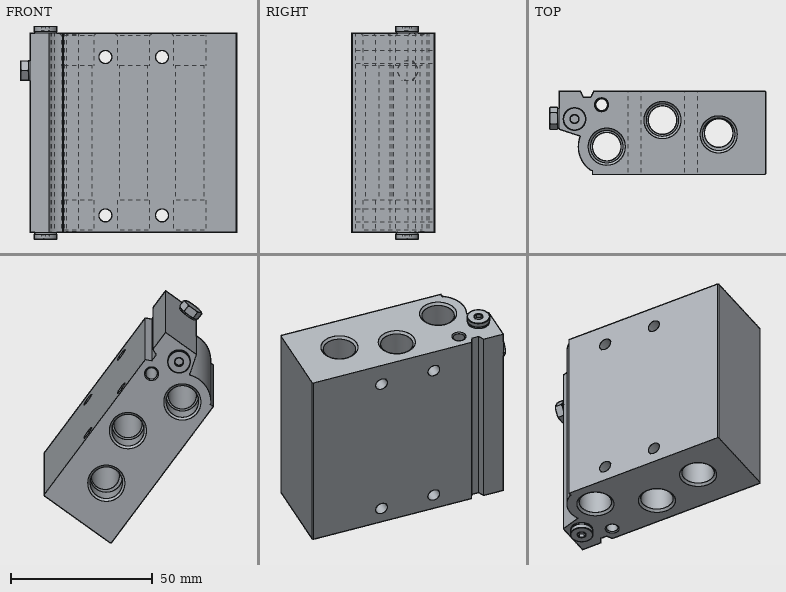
import cadquery as cq
import math

block_width = 73.05
block_depth = 29.5
block_height = 70.45
corner_chamfer = 0.3

lobe_radius = 10.1
front_step_x = 11.7
front_step_y = 1.4

shoulder_y = 16.0
shoulder_slope = 18.0
shoulder_radius = 0.35

groove_x = 9.85
groove_mouth = 4.65
groove_floor = 2.6
groove_depth = 2.15

bore_diameter = 10.0
port_diameter = 11.45
port_mouth_diameter = 13.15
port_depth = 11.45
port_centres = [(16.8, 9.85), (36.5, 19.25), (56.4, 14.2)]
last_bore_offset = 0.45
bore_offsets = [0, 0, last_bore_offset]

pilot_diameter = 4.1
pilot_mouth_diameter = 5.0
pilot_centre = (15.0, 24.7)

mount_diameter = 4.5
mount_columns = [26.6, 46.6]
mount_rows = [6.0, 62.0]

plug_centre = (5.4, 19.6)
plug_diameter = 8.0
plug_height = 2.45
plug_neck_diameter = 7.8
plug_neck_height = 0.7
plug_chamfer = 0.15
socket_flats = 2.75
socket_mouth_diameter = 3.2
socket_depth = 1.5
socket_turn = 30.0

screw_y = 19.9
screw_z = 57.2
screw_flats = 6.95
screw_head_height = 2.8
screw_neck_diameter = 7.0
screw_neck_height = 0.5
screw_bevel = 0.3


def block_profile():
    """Closed outline of the block in the XY plane."""
    lobe_x, lobe_y = port_centres[0]
    slope = math.tan(math.radians(shoulder_slope))

    drop = shoulder_y - lobe_y
    a = 1 + slope ** 2
    half_b = -lobe_x - slope * drop
    c = lobe_x ** 2 + drop ** 2 - lobe_radius ** 2
    top_x = (-half_b - math.sqrt(half_b ** 2 - a * c)) / a
    top_y = shoulder_y - slope * top_x

    bottom_x = lobe_x - math.sqrt(lobe_radius ** 2 - (lobe_y - front_step_y) ** 2)

    return (
        cq.Workplane("XY")
        .moveTo(0, block_depth)
        .lineTo(0, shoulder_y)
        .lineTo(top_x, top_y)
        .threePointArc((lobe_x - lobe_radius, lobe_y), (bottom_x, front_step_y))
        .lineTo(front_step_x, front_step_y)
        .lineTo(front_step_x, 0)
        .lineTo(block_width, 0)
        .lineTo(block_width, block_depth)
        .lineTo(groove_x + groove_mouth / 2, block_depth)
        .lineTo(groove_x + groove_floor / 2, block_depth - groove_depth)
        .lineTo(groove_x - groove_floor / 2, block_depth - groove_depth)
        .lineTo(groove_x - groove_mouth / 2, block_depth)
        .close()
    )


def bore_cutter(centre, diameter):
    """Vertical cylinder through the whole block."""
    return cq.Workplane("XY").center(*centre).circle(diameter / 2).extrude(block_height)


def countersink_cutter(centre, mouth_diameter, inner_diameter, top=block_height):
    """45 degree cone narrowing downwards from the given height."""
    depth = (mouth_diameter - inner_diameter) / 2
    cone = cq.Solid.makeCone(
        inner_diameter / 2, mouth_diameter / 2, depth, pnt=cq.Vector(*centre, top - depth)
    )
    return cq.Workplane(cone)


def port_cutter(centre):
    """Widened port with a countersunk mouth at the top of a main bore."""
    port = (
        cq.Workplane("XY", origin=(*centre, block_height - port_depth))
        .circle(port_diameter / 2)
        .extrude(port_depth)
    )
    return port.union(countersink_cutter(centre, port_mouth_diameter, port_diameter))


def both_ends(shape):
    """The shape for the top face together with its mirror image for the bottom face."""
    return [shape, shape.mirror("XY", (0, 0, block_height / 2))]


def make_block():
    """Manifold block with its bores, pilot hole and mounting holes."""
    block = block_profile().extrude(block_height)
    block = block.edges("|Z and >X").chamfer(corner_chamfer)
    shoulder_edge = cq.selectors.NearestToPointSelector((0, shoulder_y, block_height / 2))
    block = block.edges("|Z").edges(shoulder_edge).fillet(shoulder_radius)

    for (x, y), offset in zip(port_centres, bore_offsets):
        block = block.cut(bore_cutter((x, y + offset), bore_diameter))
        for cutter in both_ends(port_cutter((x, y))):
            block = block.cut(cutter)

    block = block.cut(bore_cutter(pilot_centre, pilot_diameter))
    for cutter in both_ends(countersink_cutter(pilot_centre, pilot_mouth_diameter, pilot_diameter)):
        block = block.cut(cutter)

    mount_holes = (
        cq.Workplane("XZ")
        .pushPoints([(x, z) for x in mount_columns for z in mount_rows])
        .circle(mount_diameter / 2)
        .extrude(-block_depth)
    )
    return block.cut(mount_holes)


def hexagon_corner_diameter(flats):
    """Diameter through the corners of a hexagon with the given width across flats."""
    return flats / math.cos(math.pi / 6)


def make_top_plug():
    """Round plug with a narrower neck and a hexagonal socket, standing on the top face."""
    neck = (
        cq.Workplane("XY", origin=(*plug_centre, block_height))
        .circle(plug_neck_diameter / 2)
        .extrude(plug_neck_height)
    )
    head = (
        cq.Workplane("XY", origin=(*plug_centre, block_height + plug_neck_height))
        .circle(plug_diameter / 2)
        .extrude(plug_height - plug_neck_height)
        .faces(">Z")
        .edges()
        .chamfer(plug_chamfer)
    )
    plug_top = block_height + plug_height
    socket = (
        cq.Workplane("XY", origin=(*plug_centre, plug_top))
        .transformed(rotate=(0, 0, socket_turn))
        .polygon(6, hexagon_corner_diameter(socket_flats))
        .extrude(-socket_depth)
    )
    mouth = countersink_cutter(plug_centre, socket_mouth_diameter, socket_flats, plug_top)
    return neck.union(head).cut(socket).cut(mouth)


def make_screw():
    """Hexagonal screw head on a round neck, pointing out of the left face."""
    corner_diameter = hexagon_corner_diameter(screw_flats)
    head = (
        cq.Workplane("YZ", origin=(-screw_neck_height, screw_y, screw_z))
        .polygon(6, corner_diameter)
        .extrude(-screw_head_height)
    )
    blank = (
        cq.Workplane("YZ", origin=(-screw_neck_height, screw_y, screw_z))
        .circle(corner_diameter / 2)
        .extrude(-screw_head_height)
        .faces("<X or >X")
        .edges()
        .chamfer(screw_bevel)
    )
    neck = (
        cq.Workplane("YZ", origin=(0, screw_y, screw_z))
        .circle(screw_neck_diameter / 2)
        .extrude(-screw_neck_height)
    )
    return head.intersect(blank).union(neck)


block = make_block()
plugs = both_ends(make_top_plug())
screw = make_screw()

result = cq.Compound.makeCompound([block.val(), *[plug.val() for plug in plugs], screw.val()])